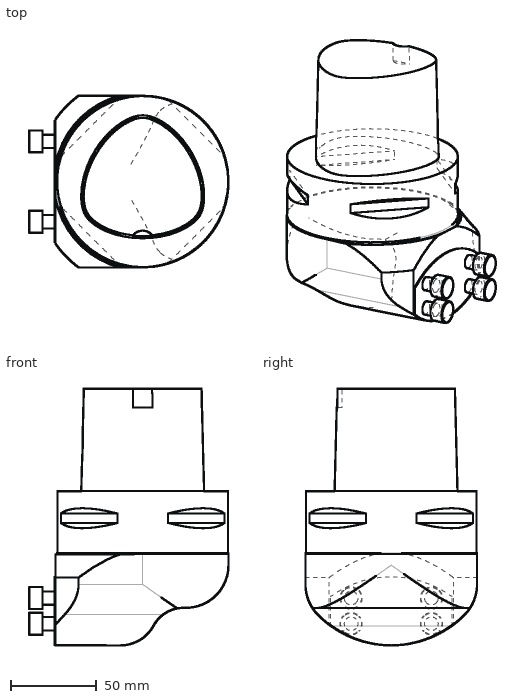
import cadquery as cq
import math


SHANK_HEIGHT = 60.0
SHANK_MEAN_RADIUS = 36.0
LOBE_HEIGHT = 2.8
TAPER_PER_SIDE = 1 / 40
LOBE_POINTS = 36
NOTCH_RADIUS = 7.0
NOTCH_CENTRE_Y = -35.7
NOTCH_DEPTH = 11.0

FLANGE_RADIUS = 50.0
FLANGE_HEIGHT = 36.0
NECK_FILLET = 1.0
SLOT_ANGLES = (45, 135, 225, 315)
SLOT_Z = -15.8
SLOT_FLOOR_WIDTH = 5.4
SLOT_FLOOR_DISTANCE = 44.2
SLOT_MOUTH_WIDTH = 11.75

BODY_HALF_WIDTH = 50.25
BODY_TOP_Z = -(FLANGE_HEIGHT + NECK_FILLET)
BODY_BOTTOM_Z = -90.25
BODY_FACE_X = -51.05
BELLY_RADIUS = 60.25
SIDE_RADIUS = 25.25
TURNED_RADIUS = 62.7
CONE_TOP_RADIUS = 52.0
CONE_BOTTOM_Z = -50.5
SHOULDER_RADIUS = 25.0
SHOULDER_BOTTOM_Z = -68.25
HEEL_RADIUS = 22.0
HEEL_CENTRE_X = -13.0
THROAT_RADIUS = 20.0

PAD_Z = -70.0
PAD_THICKNESS = 0.4
PAD_HALF_WIDTH = 35.4
PAD_HALF_HEIGHT = 20.0
PAD_ARC_RADIUS = 60.0
SCREW_Y = 23.5
SCREW_HALF_PITCH = 7.5
SCREW_DIAMETER = 8.0
HEAD_DIAMETER = 13.0
HEAD_LENGTH = 8.0
HEAD_CHAMFER = 0.4
HEAD_END_X = -66.55


def lobe_section(z):
    """Closed curve of constant width with three lobes, one of them toward +Y."""
    mean_radius = SHANK_MEAN_RADIUS - z * TAPER_PER_SIDE
    points = []
    for i in range(LOBE_POINTS):
        angle = 2 * math.pi * i / LOBE_POINTS
        along = (mean_radius * math.cos(angle) + 2 * LOBE_HEIGHT * math.cos(2 * angle)
                 - LOBE_HEIGHT * math.cos(4 * angle))
        across = (mean_radius * math.sin(angle) - 2 * LOBE_HEIGHT * math.sin(2 * angle)
                  - LOBE_HEIGHT * math.sin(4 * angle))
        points.append((-across, along))
    wire = cq.Workplane("XY", origin=(0, 0, z)).spline(points, periodic=True).close()
    return wire.val()


def make_shank():
    sections = [lobe_section(0), lobe_section(SHANK_HEIGHT)]
    shank = cq.Workplane(cq.Solid.makeLoft(sections, True))
    notch = (cq.Workplane("XY", origin=(0, NOTCH_CENTRE_Y, SHANK_HEIGHT))
             .circle(NOTCH_RADIUS).extrude(-NOTCH_DEPTH))
    return shank.cut(notch)


def gripper_slot(angle):
    """Straight slot across the flange rim, with walls that flare outward."""
    floor_half = SLOT_FLOOR_WIDTH / 2
    mouth_half = SLOT_MOUTH_WIDTH / 2
    profile = [
        (SLOT_FLOOR_DISTANCE, SLOT_Z - floor_half),
        (FLANGE_RADIUS, SLOT_Z - mouth_half),
        (FLANGE_RADIUS, SLOT_Z + mouth_half),
        (SLOT_FLOOR_DISTANCE, SLOT_Z + floor_half),
    ]
    slot = cq.Workplane("XZ").polyline(profile).close().extrude(FLANGE_RADIUS, both=True)
    return slot.rotate((0, 0, 0), (0, 0, 1), angle)


def make_flange():
    flange = cq.Workplane("XY").circle(FLANGE_RADIUS).extrude(-FLANGE_HEIGHT)
    for angle in SLOT_ANGLES:
        flange = flange.cut(gripper_slot(angle))
    return flange


def body_plan():
    """Plan outline: flat sides, flat mounting face and a round back."""
    return (cq.Workplane("XY")
            .moveTo(BODY_FACE_X, -BODY_HALF_WIDTH)
            .lineTo(0, -BODY_HALF_WIDTH)
            .threePointArc((BODY_HALF_WIDTH, 0), (0, BODY_HALF_WIDTH))
            .lineTo(BODY_FACE_X, BODY_HALF_WIDTH)
            .close()
            .extrude(BODY_BOTTOM_Z))


def body_cross_section():
    """Section across X: flat sides, side arcs and the belly arc, all tangent."""
    side_centre_y = BODY_HALF_WIDTH - SIDE_RADIUS
    belly_centre_z = BODY_BOTTOM_Z + BELLY_RADIUS
    centre_distance = BELLY_RADIUS - SIDE_RADIUS
    side_centre_z = belly_centre_z - math.sqrt(centre_distance**2 - side_centre_y**2)
    join_y = side_centre_y * BELLY_RADIUS / centre_distance
    join_z = belly_centre_z + (side_centre_z - belly_centre_z) * BELLY_RADIUS / centre_distance
    return (cq.Workplane("YZ", origin=(BODY_FACE_X, 0, 0))
            .moveTo(-BODY_HALF_WIDTH, 0)
            .lineTo(-BODY_HALF_WIDTH, side_centre_z)
            .radiusArc((-join_y, join_z), -SIDE_RADIUS)
            .threePointArc((0, BODY_BOTTOM_Z), (join_y, join_z))
            .radiusArc((BODY_HALF_WIDTH, side_centre_z), -SIDE_RADIUS)
            .lineTo(BODY_HALF_WIDTH, 0)
            .close()
            .extrude(BODY_HALF_WIDTH - BODY_FACE_X))


def body_side_profile():
    """Profile along X: rounded shoulder, hollow throat and rounded heel, all tangent."""
    heel_centre_z = BODY_BOTTOM_Z + HEEL_RADIUS
    throat_centre_z = SHOULDER_BOTTOM_Z - THROAT_RADIUS
    centre_distance = HEEL_RADIUS + THROAT_RADIUS
    drop = heel_centre_z - throat_centre_z
    run = math.sqrt(centre_distance**2 - drop**2)
    throat_centre_x = HEEL_CENTRE_X + run
    join_x = HEEL_CENTRE_X + run * HEEL_RADIUS / centre_distance
    join_z = heel_centre_z - drop * HEEL_RADIUS / centre_distance
    return (cq.Workplane("XZ")
            .moveTo(BODY_FACE_X, 0)
            .lineTo(BODY_FACE_X, BODY_BOTTOM_Z)
            .lineTo(HEEL_CENTRE_X, BODY_BOTTOM_Z)
            .radiusArc((join_x, join_z), -HEEL_RADIUS)
            .radiusArc((throat_centre_x, SHOULDER_BOTTOM_Z), THROAT_RADIUS)
            .lineTo(BODY_HALF_WIDTH - SHOULDER_RADIUS, SHOULDER_BOTTOM_Z)
            .radiusArc((BODY_HALF_WIDTH, SHOULDER_BOTTOM_Z + SHOULDER_RADIUS), -SHOULDER_RADIUS)
            .lineTo(BODY_HALF_WIDTH, 0)
            .close()
            .extrude(BODY_HALF_WIDTH, both=True))


def turned_envelope():
    """Turned limits of the body: neck fillet, step, cone and cylinder about the Z axis."""
    return (cq.Workplane("XZ")
            .moveTo(0, -FLANGE_HEIGHT)
            .lineTo(FLANGE_RADIUS, -FLANGE_HEIGHT)
            .radiusArc((FLANGE_RADIUS + NECK_FILLET, BODY_TOP_Z), -NECK_FILLET)
            .lineTo(CONE_TOP_RADIUS, BODY_TOP_Z)
            .lineTo(TURNED_RADIUS, CONE_BOTTOM_Z)
            .lineTo(TURNED_RADIUS, BODY_BOTTOM_Z)
            .lineTo(0, BODY_BOTTOM_Z)
            .close()
            .revolve(360, (0, 0, 0), (0, 1, 0)))


def make_body():
    body = body_plan().intersect(body_cross_section())
    return body.intersect(body_side_profile()).intersect(turned_envelope())


def make_pad():
    """Thin raised pad bounded by two arcs and two straight ends."""
    arc_drop = PAD_ARC_RADIUS - math.sqrt(PAD_ARC_RADIUS**2 - PAD_HALF_WIDTH**2)
    end_half_height = PAD_HALF_HEIGHT - arc_drop
    return (cq.Workplane("YZ", origin=(BODY_FACE_X, 0, PAD_Z))
            .moveTo(-PAD_HALF_WIDTH, -end_half_height)
            .threePointArc((0, -PAD_HALF_HEIGHT), (PAD_HALF_WIDTH, -end_half_height))
            .lineTo(PAD_HALF_WIDTH, end_half_height)
            .threePointArc((0, PAD_HALF_HEIGHT), (-PAD_HALF_WIDTH, end_half_height))
            .close()
            .extrude(-PAD_THICKNESS))


def make_screw(y, z):
    head_end = cq.Workplane("YZ", origin=(HEAD_END_X, y, z))
    stem = (head_end.workplane(offset=HEAD_LENGTH)
            .circle(SCREW_DIAMETER / 2).extrude(BODY_FACE_X - HEAD_END_X - HEAD_LENGTH))
    head = head_end.circle(HEAD_DIAMETER / 2).extrude(HEAD_LENGTH).faces("<X").chamfer(HEAD_CHAMFER)
    return stem.union(head)


result = make_flange().union(make_shank()).union(make_body()).union(make_pad())
for screw_y in (-SCREW_Y, SCREW_Y):
    for screw_z in (PAD_Z - SCREW_HALF_PITCH, PAD_Z + SCREW_HALF_PITCH):
        result = result.union(make_screw(screw_y, screw_z))